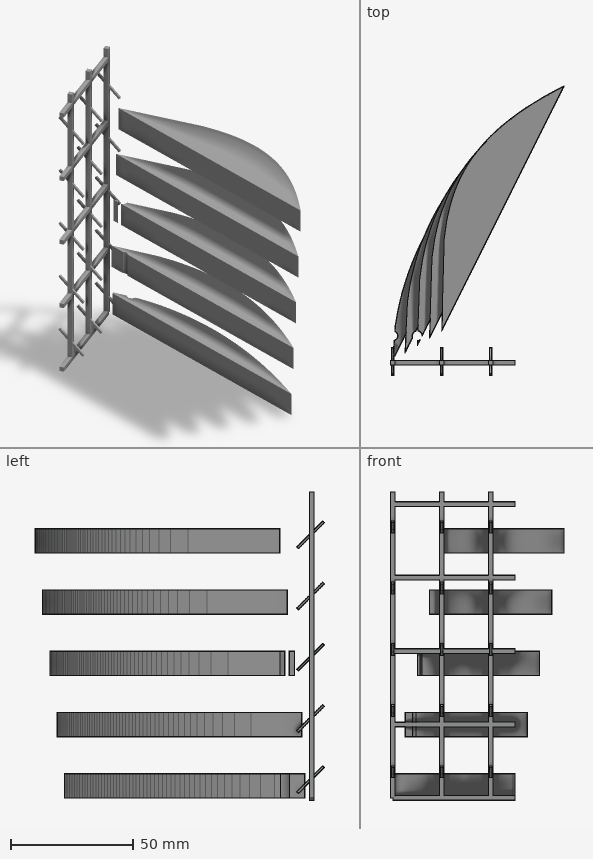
import cadquery as cq

FIN_COUNT = 5
FIN_WIDTH = 50.0
FIN_LENGTH = 100.0
FIN_HEIGHT = 10.0
FIN_FACETS = 50
FIN_STEP_X = 5.0
FIN_STEP_Y = 3.0
FIN_STEP_Z = 25.0
LOWEST_EXPONENT = 2.0
EXPONENT_STEP = 0.5

CUT_RADIUS = 2.0
CUT_PITCH = 10.0
CUT_CENTERS = [(0.0, 0.0), (0.0, CUT_PITCH), (CUT_PITCH, CUT_PITCH)]
CUT_DEPTH = FIN_COUNT * FIN_STEP_Z

BEAM = 2.0
FRAME_Y = -BEAM / 2
POST_COUNT = 3
POST_PITCH = 20.0
POST_HEIGHT = FIN_COUNT * FIN_STEP_Z
RAIL_COUNT = 5
RAIL_PITCH = 30.0
RAIL_LENGTH = FIN_WIDTH

SLAT_WIDTH = 1.0
SLAT_LENGTH = 15.0
SLAT_THICKNESS = 1.0
SLAT_TILT = -45.0
SLAT_Y = -0.5
SLAT_BASE_Z = SLAT_LENGTH / 2


def make_fin(level):
    """One fin with its round cuts; a cut may leave the tip as a loose second solid."""
    exponent = LOWEST_EXPONENT + level * EXPONENT_STEP
    outline = []
    for step in range(FIN_FACETS + 1):
        fraction = step / FIN_FACETS
        outline.append((FIN_WIDTH * fraction, FIN_LENGTH * fraction ** (1 / exponent)))
    fin = cq.Workplane("XY").polyline(outline).close().extrude(FIN_HEIGHT)
    fin = fin.translate((level * FIN_STEP_X, level * FIN_STEP_Y, level * FIN_STEP_Z))
    cuts = cq.Workplane("XY").pushPoints(CUT_CENTERS).circle(CUT_RADIUS).extrude(CUT_DEPTH)
    return fin.cut(cuts)


def make_post(column):
    post = cq.Workplane("XY").box(BEAM, BEAM, POST_HEIGHT, centered=(True, True, False))
    return post.translate((column * POST_PITCH, FRAME_Y, 0))


def make_rail(row):
    rail = cq.Workplane("XY").box(RAIL_LENGTH, BEAM, BEAM, centered=(False, True, True))
    return rail.translate((0, FRAME_Y, row * RAIL_PITCH))


def make_slat(column, level):
    slat = cq.Workplane("XY").box(SLAT_WIDTH, SLAT_LENGTH, SLAT_THICKNESS)
    slat = slat.rotate((0, 0, 0), (1, 0, 0), SLAT_TILT)
    return slat.translate((column * POST_PITCH, SLAT_Y, SLAT_BASE_Z + level * FIN_STEP_Z))


def make_frame():
    """Posts, rails and slats joined into one solid."""
    frame = cq.Workplane("XY")
    for row in range(RAIL_COUNT):
        frame = frame.add(make_rail(row))
    for column in range(POST_COUNT):
        frame = frame.add(make_post(column))
        for level in range(FIN_COUNT):
            frame = frame.add(make_slat(column, level))
    return frame.combine()


frame_with_lowest_fin = make_frame().union(make_fin(0))

upper_fins = []
for level in range(1, FIN_COUNT):
    upper_fins.extend(make_fin(level).solids().vals())

result = cq.Compound.makeCompound([*frame_with_lowest_fin.solids().vals(), *upper_fins])